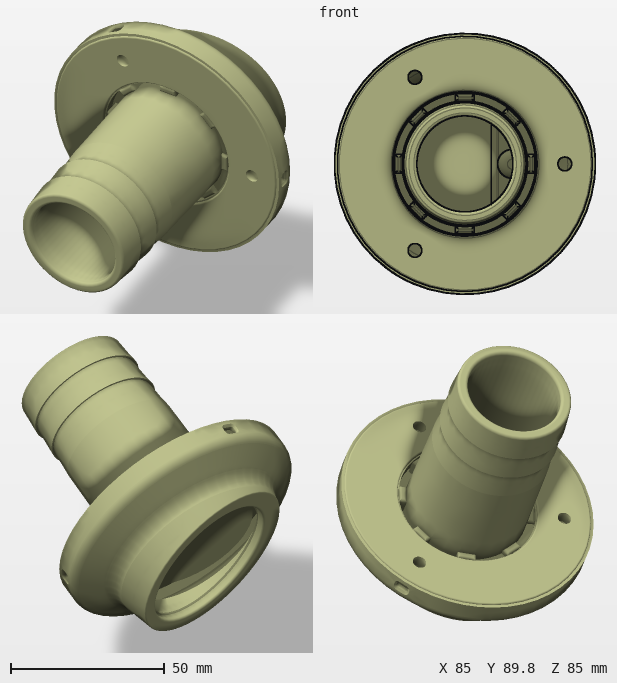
import cadquery as cq
import math


rim_radius = 42.5
rim_base_y = 0.5
rim_top_y = 6.6
flare_start = (40.8, 9.6)
flare_end = (33.4, 14.0)
neck_start = (30.4, 19.2)
neck_draft = 13.0
blank_top_y = 34.1
rim_round_radius = 3.6
mouth_tilt = 10.0
mouth_y = 25.2
mouth_outer_round = 0.5
mouth_inner_round = 0.8
mouth_bore_radius = 23.8
mouth_bore_depth = 2.9
mouth_bore_chamfer = 0.5
throat_radius = mouth_bore_radius - mouth_bore_chamfer

cavity_radius = 39.35
shell_drop = 2.3
cavity_neck = (28.2, 18.0)

station_angles = (0, 120, 240)
pocket_width = 4.3
pocket_height = 2.7
pocket_depth = 2.25
pocket_y = 4.1
pocket_chamfer = 0.76
pocket_corner_radius = 0.8

plate_radius = 41.5
plate_rim_thickness = 1.6
plate_thickness = 4.5
plate_round = 0.5
plate_opening_radius = 23.5
plate_lip_radius = 23.1
plate_lip_y = 0.9
screw_circle_radius = 32.5
screw_hole_radius = 2.25

tail_end_y = -59.8
barb_ys = (-29.9, -39.8, -49.9)
barb_radius = 19.95
barb_small_radius = 19.1
tail_root_radius = 20.5
tail_bore_radius = 15.6
tail_outer_round = 0.9
tail_inner_round = 1.1

flange_tilt = 6.0
flange_y = 4.2
flange_radius = 24.4
flange_thickness = 7.2
flange_web = 2.25
flange_recess_radius = 20.7

rib_count = 8
rib_width = 6.2
rib_inner_radius = 20.2
rib_outer_radius = 22.8
rib_front_y = 0.7
rib_back_y = 6.9
rib_round = 0.9

flap_radius = 23.4
flap_thickness = 2.25
shelf_height = 2.2
shelf_face_w = flange_thickness - shelf_height
shelf_radius = 20.2
shelf_edge_round = 0.8
shelf_foot_u = 7.9

knob_x = 15.4
knob_flat_radius = 1.6
knob_round_radius = 3.3
knob_side_angle = 68.0
knob_base_depth = 0.9

mouth_angle = math.radians(mouth_tilt)
mouth_normal = cq.Vector(-math.sin(mouth_angle), math.cos(mouth_angle), 0)
mouth_point = cq.Vector(0, mouth_y, 0)
tilt_sin = math.sin(math.radians(flange_tilt))
tilt_cos = math.cos(math.radians(flange_tilt))


def cylinder_y(radius, y_start, y_end):
    """Cylinder on the Y axis."""
    return cq.Workplane("XZ", origin=(0, y_start, 0)).circle(radius).extrude(y_start - y_end)


def revolve_y(outline):
    """Full turn about the Y axis of a closed (radius, y) outline."""
    return outline.close().revolve(360, (0, 0, 0), (0, 1, 0))


def turn_y(shape, angle):
    """Turn about the Y axis, counting from +X towards +Z."""
    return shape.rotate((0, 0, 0), (0, 1, 0), -angle)


def below_mouth(depth):
    """Point on the mouth axis, the given depth below the mouth."""
    return mouth_point - mouth_normal * depth


def flange_point(u, w):
    """Point u across the tilted flange and w behind its front face."""
    return (u * tilt_cos + w * tilt_sin, flange_y - u * tilt_sin + w * tilt_cos, 0)


def flange_plane(w):
    """Workplane parallel to the flange, w behind its front face."""
    normal = (tilt_sin, tilt_cos, 0)
    return cq.Workplane(cq.Plane(origin=flange_point(0, w), xDir=(tilt_cos, -tilt_sin, 0), normal=normal))


def make_housing_blank():
    """Solid flared body cut off by the slanted mouth."""
    blank_top_radius = neck_start[0] - (blank_top_y - neck_start[1]) * math.tan(math.radians(neck_draft))
    half_turn = math.atan2(flare_start[0] - flare_end[0], flare_end[1] - flare_start[1]) / 2
    rim_mid = (
        rim_radius - rim_round_radius * (1 - math.cos(half_turn)),
        rim_top_y + rim_round_radius * math.sin(half_turn),
    )
    outline = (
        cq.Workplane("XY")
        .moveTo(0, rim_base_y)
        .lineTo(rim_radius, rim_base_y)
        .lineTo(rim_radius, rim_top_y)
        .threePointArc(rim_mid, flare_start)
        .lineTo(*flare_end)
        .tangentArcPoint(neck_start, relative=False)
        .lineTo(blank_top_radius, blank_top_y)
        .lineTo(0, blank_top_y)
    )
    above_mouth = cq.Solid.makeCylinder(2 * rim_radius, blank_top_y, mouth_point, mouth_normal)
    return revolve_y(outline).cut(cq.Workplane(above_mouth))


def make_cavity():
    """Hollow under the flare, open towards the back plate."""
    flare_slope = (flare_end[1] - flare_start[1]) / (flare_start[0] - flare_end[0])
    flare_inside = (flare_end[0], flare_end[1] - shell_drop)
    cavity_side_y = flare_inside[1] - (cavity_radius - flare_inside[0]) * flare_slope
    outline = (
        cq.Workplane("XY")
        .moveTo(0, 0)
        .lineTo(cavity_radius, 0)
        .lineTo(cavity_radius, cavity_side_y)
        .lineTo(*flare_inside)
        .tangentArcPoint(cavity_neck, relative=False)
        .lineTo(0, cavity_neck[1])
    )
    return revolve_y(outline)


def make_mouth_bore():
    """Bore square to the mouth, narrowing by a short cone to the throat."""
    cone_end_depth = mouth_bore_depth + mouth_bore_chamfer
    bore = cq.Solid.makeCylinder(mouth_bore_radius, blank_top_y, below_mouth(mouth_bore_depth), mouth_normal)
    cone = cq.Solid.makeCone(
        throat_radius, mouth_bore_radius, mouth_bore_chamfer, below_mouth(cone_end_depth), mouth_normal
    )
    throat = cq.Solid.makeCylinder(throat_radius, mouth_y, below_mouth(mouth_y), mouth_normal)
    return cq.Workplane(bore.fuse(cone, throat))


def make_drain_pocket():
    """Rounded pocket in the rim at +X with a tapered entry."""
    opening_shape = cq.Sketch().rect(pocket_height, pocket_width).vertices().fillet(pocket_corner_radius)
    pocket = cq.Workplane("YZ", origin=(rim_radius - pocket_depth, pocket_y, 0))
    pocket = pocket.placeSketch(opening_shape).extrude(pocket_depth)
    entry = cq.Workplane("YZ", origin=(rim_radius - pocket_chamfer, pocket_y, 0))
    entry = entry.placeSketch(opening_shape).extrude(pocket_chamfer, taper=-45)
    return pocket.union(entry)


def make_housing():
    """Hollow flared shell with a bored, rounded mouth and drain pockets in the rim."""
    housing = make_housing_blank().cut(make_mouth_bore())
    mouth_face = cq.DirectionMinMaxSelector(mouth_normal)
    housing = housing.faces(mouth_face).edges("%ELLIPSE").fillet(mouth_outer_round)
    housing = housing.faces(mouth_face).edges("%CIRCLE").fillet(mouth_inner_round)
    housing = housing.cut(make_cavity())
    housing = housing.cut(cylinder_y(plate_radius, 0, plate_rim_thickness))
    for angle in station_angles:
        housing = housing.cut(turn_y(make_drain_pocket(), angle))
    return housing


def make_flange_disc():
    """Plain tilted disc of the flange, which also shapes its seat in the back plate."""
    return flange_plane(0).circle(flange_radius).extrude(flange_thickness)


def make_back_plate():
    """Stepped disc with three screw holes, a lipped opening and a tilted seat for the flange."""
    plate = cylinder_y(plate_radius, 0, plate_rim_thickness)
    plate = plate.cut(cylinder_y(plate_opening_radius, 0, plate_lip_y))
    plate = plate.faces("<Y").edges().fillet(plate_round)
    plate = plate.union(cylinder_y(cavity_radius, plate_lip_y, plate_thickness))
    plate = plate.cut(cylinder_y(plate_lip_radius, 0, plate_thickness))
    plate = plate.cut(make_flange_disc())
    screw_hole = cylinder_y(screw_hole_radius, 0, plate_thickness).translate((screw_circle_radius, 0, 0))
    for angle in station_angles:
        plate = plate.cut(turn_y(screw_hole, angle))
    return plate


def make_tail():
    """Solid tail: tapered shank, then barbs that each narrow towards the free end."""
    root_y = flange_y + flange_web
    outline = cq.Workplane("XY").moveTo(0, root_y).lineTo(tail_root_radius, root_y)
    barb_ends = barb_ys[1:] + (tail_end_y,)
    for wide_y, narrow_y in zip(barb_ys, barb_ends):
        outline = outline.lineTo(barb_radius, wide_y).lineTo(barb_small_radius, narrow_y)
    tail = revolve_y(outline.lineTo(0, tail_end_y))
    return tail.faces("<Y").edges().fillet(tail_outer_round)


def make_rib():
    """Rounded block on the flange at +X, square to the tail axis."""
    rib_middle = ((rib_inner_radius + rib_outer_radius) / 2, (rib_front_y + rib_back_y) / 2, 0)
    rib = cq.Workplane("XY", origin=rib_middle).box(
        rib_outer_radius - rib_inner_radius, rib_back_y - rib_front_y, rib_width
    )
    return rib.faces("<Y").edges().fillet(rib_round)


def make_hose_tail():
    """Barbed tail on a tilted flange, with ribs in front and a recess behind."""
    hose_tail = make_tail().union(make_flange_disc())
    for i in range(rib_count):
        hose_tail = hose_tail.union(turn_y(make_rib(), i * 360 / rib_count))
    recess = flange_plane(flange_web).circle(flange_recess_radius).extrude(flange_thickness)
    hose_tail = hose_tail.cut(recess)
    hose_tail = hose_tail.cut(cylinder_y(tail_bore_radius, tail_end_y, flange_y + flange_thickness))
    return hose_tail.faces("<Y").edges(cq.selectors.RadiusNthSelector(0)).fillet(tail_inner_round)


def make_flap():
    """Disc lying on the back of the flange, with a bevelled shelf reaching into the recess."""
    disc = flange_plane(flange_thickness).circle(flap_radius).extrude(flap_thickness)
    shelf = flange_plane(shelf_face_w).circle(shelf_radius).extrude(shelf_height)
    section_plane = cq.Plane(origin=(0, flange_y, 0), xDir=(tilt_cos, -tilt_sin, 0), normal=(0, 0, 1))
    shelf_section = (
        cq.Workplane(section_plane)
        .moveTo(shelf_foot_u, flange_thickness)
        .lineTo(shelf_foot_u + shelf_height, shelf_face_w)
        .lineTo(flap_radius, shelf_face_w)
        .lineTo(flap_radius, flange_thickness)
        .close()
        .extrude(flap_radius, both=True)
    )
    shelf_edge = flange_point(shelf_foot_u + shelf_height, shelf_face_w)
    shelf_section = shelf_section.edges(cq.NearestToPointSelector(shelf_edge)).fillet(shelf_edge_round)
    return disc.union(shelf.intersect(shelf_section))


def make_knob(flap):
    """Domed knob with a small flat tip, seated on the tilted shelf."""
    seat_y = flange_y + (shelf_face_w - knob_x * tilt_sin) / tilt_cos
    side = math.radians(knob_side_angle)
    dome_height = knob_round_radius * (1 - math.cos(side))
    knob_radius = knob_flat_radius + knob_round_radius * math.sin(side)
    tip_y = seat_y - dome_height
    dome_mid = (
        knob_flat_radius + knob_round_radius * math.sin(side / 2),
        tip_y + knob_round_radius * (1 - math.cos(side / 2)),
    )
    base_y = seat_y + knob_base_depth
    outline = (
        cq.Workplane("XY")
        .moveTo(0, tip_y)
        .lineTo(knob_flat_radius, tip_y)
        .threePointArc(dome_mid, (knob_radius, seat_y))
        .lineTo(knob_radius, base_y)
        .lineTo(0, base_y)
    )
    return revolve_y(outline).translate((knob_x, 0, 0)).cut(flap)


housing = make_housing()
back_plate = make_back_plate()
hose_tail = make_hose_tail()
flap = make_flap()
knob = make_knob(flap)
result = cq.Compound.makeCompound(
    [housing.val(), back_plate.val(), hose_tail.val(), flap.val(), knob.val()]
)